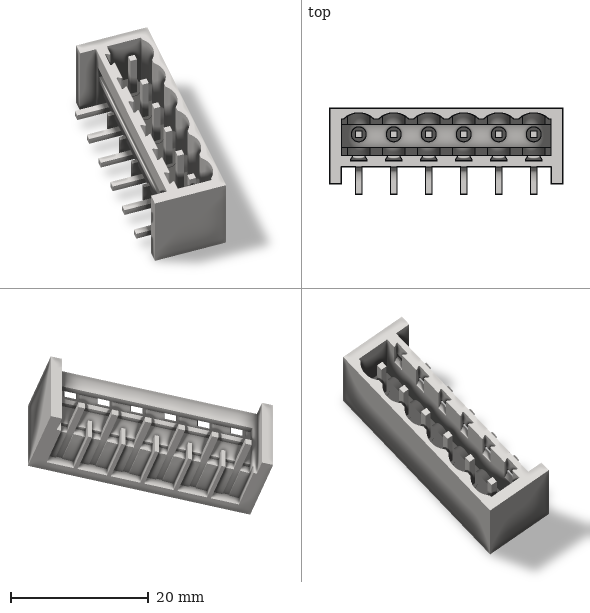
import cadquery as cq
import math


PIN_COUNT = 6
PITCH = 5.08
PIN_WIDTH = 0.98
PIN_BOTTOM = 1.52
TAIL_TOP = PIN_BOTTOM + PIN_WIDTH
PIN_TOP = 11.0
PIN_TIP_Y = -8.7

LENGTH = 33.88
HEIGHT = 12.0
BACK_Y = 3.8
WING_Y = -7.18
FRONT_Y = -4.7
WING_THICKNESS = 1.7

CAVITY_BACK_Y = 2.25
CAVITY_FRONT_Y = -3.05
SCALLOP_RADIUS = 3.12
PLATEAU_BACK_Y = 1.45
PLATEAU_FRONT_Y = -1.93
PLATEAU_Z = 4.05
HUMP_RADIUS = 1.5
HUMP_ARC_HALF_WIDTH = 1.22
HUMP_HALF_WIDTH = 1.63
HUMP_ARC_RISE = math.sqrt(HUMP_RADIUS**2 - HUMP_ARC_HALF_WIDTH**2)
HUMP_ARC_END_Z = PLATEAU_Z - HUMP_RADIUS + HUMP_ARC_RISE
FLANK_SLOPE = HUMP_ARC_HALF_WIDTH / HUMP_ARC_RISE
FLOOR_Z = HUMP_ARC_END_Z - FLANK_SLOPE * (HUMP_HALF_WIDTH - HUMP_ARC_HALF_WIDTH)
COLLAR_DIAMETER = 2.17
COLLAR_HEIGHT = 0.1

SLOT_MOUTH_WIDTH = 1.83
SLOT_BASE_WIDTH = 2.37
SLOT_MOUTH_DEPTH = 0.2
SLOT_FLARE_END_DEPTH = 0.58
SLOT_DEPTH = 0.8
SLOT_BOTTOM_Z = 7.9

RECESS_HALF_LENGTH = 14.57
RECESS_TOP_Z = 8.95
RECESS_DEPTH = 0.9
LEDGE_BOTTOM_Z = 5.9
LEDGE_TOP_Z = 6.75
LEDGE_DEPTH = 0.68
UNDERCUT_DEPTH = 0.58
UNDERCUT_Z = TAIL_TOP

RIB_WIDTH = 0.6
RIB_TOP_Z = 3.25
POCKET_CROWN_Z = 1.35
POCKET_EDGE_Z = 1.25
POCKET_RIGHT_END = 14.75

RECESS_Y = FRONT_Y + RECESS_DEPTH
UNDERCUT_Y = RECESS_Y + UNDERCUT_DEPTH
CAVITY_HALF_LENGTH = LENGTH / 2 - WING_THICKNESS
PIN_XS = [(i - (PIN_COUNT - 1) / 2) * PITCH for i in range(PIN_COUNT)]
RIB_XS = [x + PITCH / 2 for x in PIN_XS[:-1]]


def block(x_range, y_range, z_range):
    """Box between two limits along each axis."""
    (x0, x1), (y0, y1), (z0, z1) = x_range, y_range, z_range
    return cq.Workplane("XY").box(x1 - x0, y1 - y0, z1 - z0, centered=False).translate((x0, y0, z0))


def centered_range(middle, width):
    return (middle - width / 2, middle + width / 2)


def make_pin(x):
    """Square L-shaped pin: an upright contact and a tail leaving at the front."""
    across = centered_range(x, PIN_WIDTH)
    upright = block(across, centered_range(0, PIN_WIDTH), (PIN_BOTTOM, PIN_TOP))
    tail = block(across, (PIN_TIP_Y, PIN_WIDTH / 2), (PIN_BOTTOM, TAIL_TOP))
    return upright.union(tail)


def make_shell():
    """Block with a wing at each end that stands forward of the front wall."""
    half = LENGTH / 2
    shell = block((-half, half), (WING_Y, BACK_Y), (0, HEIGHT))
    between_wings = block((-CAVITY_HALF_LENGTH, CAVITY_HALF_LENGTH), (WING_Y, FRONT_Y), (0, HEIGHT))
    return shell.cut(between_wings)


def make_cavity():
    """Space for the plug, open at the top, with a round scallop behind each pin."""
    cavity = block(
        (-CAVITY_HALF_LENGTH, CAVITY_HALF_LENGTH), (CAVITY_FRONT_Y, CAVITY_BACK_Y), (FLOOR_Z, HEIGHT)
    )
    behind_pins = block((-CAVITY_HALF_LENGTH, CAVITY_HALF_LENGTH), (0, BACK_Y), (FLOOR_Z, HEIGHT))
    for x in PIN_XS:
        axis = cq.Workplane("XY", origin=(x, 0, FLOOR_Z))
        cylinder = axis.circle(SCALLOP_RADIUS).extrude(HEIGHT - FLOOR_Z)
        cavity = cavity.union(cylinder.intersect(behind_pins))
    return cavity


def make_hump(x):
    """Ridge running along Y on the floor: a round crown with flat flanks tangent to it."""
    arc = HUMP_ARC_HALF_WIDTH
    foot = HUMP_HALF_WIDTH
    return (
        cq.Workplane("XZ", origin=(x, SCALLOP_RADIUS, 0))
        .moveTo(-foot, FLOOR_Z)
        .lineTo(-arc, HUMP_ARC_END_Z)
        .threePointArc((0, PLATEAU_Z), (arc, HUMP_ARC_END_Z))
        .lineTo(foot, FLOOR_Z)
        .close()
        .extrude(SCALLOP_RADIUS - CAVITY_FRONT_Y)
    )


def make_floor_relief():
    """Raised strip along the pins, with a hump across it and a round collar at each pin."""
    relief = block(
        (-CAVITY_HALF_LENGTH, CAVITY_HALF_LENGTH), (PLATEAU_FRONT_Y, PLATEAU_BACK_Y), (FLOOR_Z, PLATEAU_Z)
    )
    for x in PIN_XS:
        seat = cq.Workplane("XY", origin=(x, 0, PLATEAU_Z))
        collar = seat.circle(COLLAR_DIAMETER / 2).extrude(COLLAR_HEIGHT)
        relief = relief.union(make_hump(x)).union(collar)
    return relief


def make_dovetail_slot(x):
    """Slot with a straight mouth at the cavity, flaring to a wider straight base."""
    mouth = SLOT_MOUTH_WIDTH / 2
    base = SLOT_BASE_WIDTH / 2
    half_outline = [
        (mouth, 0),
        (mouth, -SLOT_MOUTH_DEPTH),
        (base, -SLOT_FLARE_END_DEPTH),
        (base, -SLOT_DEPTH),
    ]
    other_half = [(-across, y) for across, y in reversed(half_outline)]
    slot = cq.Workplane("XY", origin=(x, CAVITY_FRONT_Y, SLOT_BOTTOM_Z)).polyline(half_outline + other_half)
    return slot.close().extrude(HEIGHT - SLOT_BOTTOM_Z)


def make_front_recess():
    """Recess in the front wall, leaving a long ledge, and deeper below the wall."""
    across = (-RECESS_HALF_LENGTH, RECESS_HALF_LENGTH)
    recess = block(across, (FRONT_Y, RECESS_Y), (0, RECESS_TOP_Z))
    ledge = block(across, (RECESS_Y - LEDGE_DEPTH, RECESS_Y), (LEDGE_BOTTOM_Z, LEDGE_TOP_Z))
    undercut = block(across, (FRONT_Y, UNDERCUT_Y), (0, UNDERCUT_Z))
    return recess.cut(ledge).union(undercut)


def make_pocket(left, right):
    """Pocket in the underside with a shallow arched roof."""
    return (
        cq.Workplane("XZ", origin=(0, CAVITY_BACK_Y, 0))
        .moveTo(left, 0)
        .lineTo(left, POCKET_EDGE_Z)
        .threePointArc(((left + right) / 2, POCKET_CROWN_Z), (right, POCKET_EDGE_Z))
        .lineTo(right, 0)
        .close()
        .extrude(CAVITY_BACK_Y - FRONT_Y)
    )


def make_rib(x):
    """Rib dividing two pockets, with its front end standing up against the front wall."""
    across = centered_range(x, RIB_WIDTH)
    divider = block(across, (FRONT_Y, CAVITY_BACK_Y), (0, UNDERCUT_Z))
    front_end = block(across, (FRONT_Y, RECESS_Y), (0, RIB_TOP_Z))
    return divider.union(front_end)


def make_tail_slot(x):
    """Slot along the roof of a pocket that opens the seat of a pin tail downward."""
    return block(centered_range(x, PIN_WIDTH), (FRONT_Y, CAVITY_BACK_Y), (0, PIN_BOTTOM))


def make_housing(pins):
    """Housing in one piece, with seats that match the pins."""
    housing = make_shell().cut(make_cavity()).union(make_floor_relief())
    for x in PIN_XS:
        housing = housing.cut(make_dovetail_slot(x))
    housing = housing.cut(make_front_recess())
    lefts = [-RECESS_HALF_LENGTH] + RIB_XS
    rights = RIB_XS + [POCKET_RIGHT_END]
    for left, right in zip(lefts, rights):
        housing = housing.cut(make_pocket(left, right))
    for x in RIB_XS:
        housing = housing.union(make_rib(x))
    for x in PIN_XS:
        housing = housing.cut(make_tail_slot(x))
    for pin in pins:
        housing = housing.cut(pin)
    return housing


pins = [make_pin(x) for x in PIN_XS]
housing = make_housing(pins)

result = cq.Compound.makeCompound([housing.val(), *[pin.val() for pin in pins]])